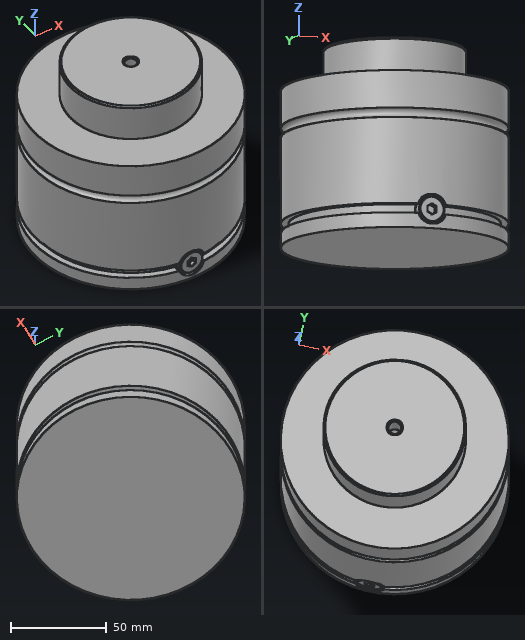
import cadquery as cq
import math

body_radius = 60.0
shoulder_height = 84.0
total_height = 106.0

boss_radius = 75.0 / 2
boss_chamfer = 1.0

hole_radius = 6.8 / 2
hole_mouth_radius = 8.5 / 2
hole_depth = 15.0
drill_point_angle = 118.0

round_groove_z = 61.5
round_groove_radius = 2.5

square_groove_z = 10.38
square_groove_width = 5.0
square_groove_floor_radius = 55.9

recess_radius = 16.0 / 2
recess_floor = 52.8
plug_radius = 14.0 / 2
plug_face = 59.5
plug_chamfer = 0.5
socket_across_flats = 5.0
socket_depth = 3.0


def make_body():
    body = cq.Workplane("XY").circle(body_radius).extrude(shoulder_height)
    boss = (
        cq.Workplane("XY")
        .circle(boss_radius)
        .extrude(total_height)
        .faces(">Z")
        .chamfer(boss_chamfer)
    )
    return body.union(boss)


def make_centre_hole():
    """Cutter: countersunk mouth, straight bore and conical bottom."""
    mouth_chamfer = hole_mouth_radius - hole_radius
    bore_end = total_height - hole_depth
    point_length = hole_radius / math.tan(math.radians(drill_point_angle / 2))
    return (
        cq.Workplane("XZ")
        .moveTo(0, total_height)
        .lineTo(hole_mouth_radius, total_height)
        .lineTo(hole_radius, total_height - mouth_chamfer)
        .lineTo(hole_radius, bore_end)
        .lineTo(0, bore_end - point_length)
        .close()
        .revolve(360, (0, 0, 0), (0, 1, 0))
    )


def make_round_groove():
    """Cutter: ring of circular section centred on the body surface."""
    return (
        cq.Workplane("XZ")
        .center(body_radius, round_groove_z)
        .circle(round_groove_radius)
        .revolve(360, (-body_radius, 0, 0), (-body_radius, 1, 0))
    )


def make_square_groove():
    return (
        cq.Workplane("XY", origin=(0, 0, square_groove_z - square_groove_width / 2))
        .circle(body_radius)
        .circle(square_groove_floor_radius)
        .extrude(square_groove_width)
    )


def side_plane(distance):
    """Plane facing -Y at a distance from the body axis, at plug height."""
    return cq.Workplane("XZ", origin=(0, -distance, square_groove_z))


def make_recess():
    return side_plane(recess_floor).circle(recess_radius).extrude(body_radius - recess_floor)


def make_plug():
    plug = (
        side_plane(recess_floor)
        .circle(plug_radius)
        .extrude(plug_face - recess_floor)
        .faces("<Y")
        .chamfer(plug_chamfer)
    )
    socket_across_corners = socket_across_flats / math.cos(math.radians(30))
    socket = (
        side_plane(plug_face)
        .transformed(rotate=(0, 0, 90))
        .polygon(6, socket_across_corners)
        .extrude(-socket_depth)
    )
    return plug.cut(socket)


result = (
    make_body()
    .cut(make_centre_hole())
    .cut(make_round_groove())
    .cut(make_square_groove())
    .cut(make_recess())
    .union(make_plug())
)